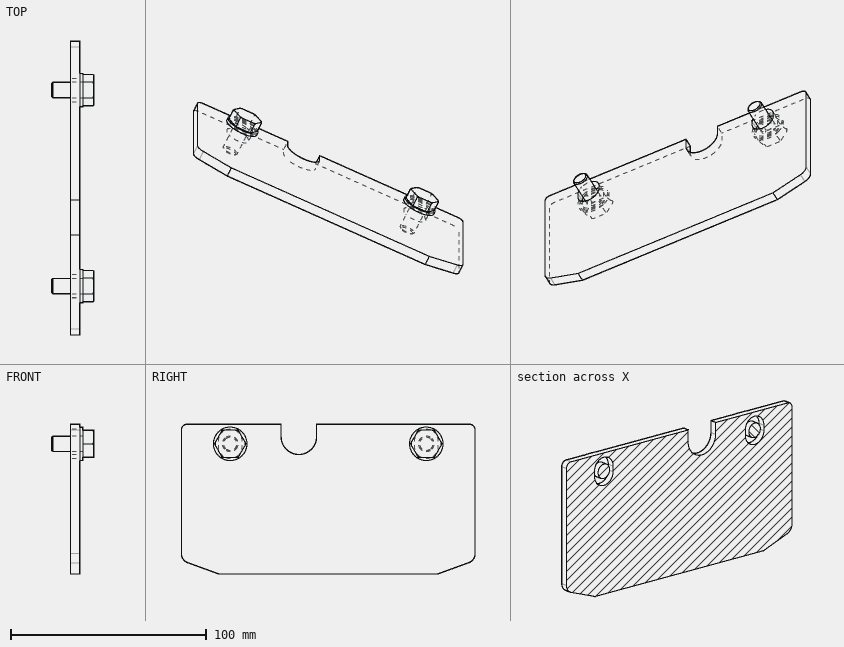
import cadquery as cq
import math

plate_length = 150.0
plate_height = 76.5
plate_thickness = 5.0
top_corner_radius = 3.0
bottom_corner_radius = 5.0
bottom_taper_length = 19.0
bottom_taper_angle = 20.0

notch_width = 18.0
notch_depth = 15.5
notch_center_y = -15.0

slot_width = 12.0
slot_height = 15.0
screw_spacing = 100.0
screw_drop = 10.0
screw_z = plate_height - screw_drop
screw_ys = (-screw_spacing / 2, screw_spacing / 2)

shank_diameter = 8.0
shank_protrusion = 9.5
shank_tip_chamfer = 0.6
head_across_flats = 14.0
head_height = 5.5
head_corner_bevel = 0.5
washer_diameter = 17.1
washer_thickness = 1.5
washer_face_x = plate_thickness + washer_thickness


def make_plate():
    half_length = plate_length / 2
    taper_rise = bottom_taper_length * math.tan(math.radians(bottom_taper_angle))
    outline = [
        (-half_length, plate_height),
        (-half_length, taper_rise),
        (-half_length + bottom_taper_length, 0),
        (half_length - bottom_taper_length, 0),
        (half_length, taper_rise),
        (half_length, plate_height),
    ]
    plate = cq.Workplane("YZ").polyline(outline).close().extrude(plate_thickness)
    side_edges = plate.faces("<Y or >Y").edges("|X")
    plate = side_edges.edges(">Z").fillet(top_corner_radius)
    plate = plate.faces("<Y or >Y").edges("|X").edges("<Z").fillet(bottom_corner_radius)
    return plate.cut(make_notch()).cut(make_slots())


def make_notch():
    radius = notch_width / 2
    left = notch_center_y - radius
    right = notch_center_y + radius
    bottom_z = plate_height - notch_depth
    return (
        cq.Workplane("YZ")
        .moveTo(left, plate_height)
        .lineTo(left, bottom_z + radius)
        .threePointArc((notch_center_y, bottom_z), (right, bottom_z + radius))
        .lineTo(right, plate_height)
        .close()
        .extrude(plate_thickness)
    )


def make_slots():
    return (
        cq.Workplane("YZ")
        .pushPoints([(y, screw_z) for y in screw_ys])
        .slot2D(slot_height, slot_width, 90)
        .extrude(plate_thickness)
    )


def make_washer(y):
    return (
        cq.Workplane("YZ", origin=(plate_thickness, y, screw_z))
        .circle(washer_diameter / 2)
        .circle(shank_diameter / 2)
        .extrude(washer_thickness)
    )


def make_screw(y):
    shank = (
        cq.Workplane("YZ", origin=(-shank_protrusion, y, screw_z))
        .circle(shank_diameter / 2)
        .extrude(shank_protrusion + washer_face_x)
        .faces("<X")
        .chamfer(shank_tip_chamfer)
    )
    return shank.union(make_head(y))


def make_head(y):
    across_corners = head_across_flats / math.cos(math.pi / 6)
    head_plane = cq.Workplane("YZ", origin=(washer_face_x, y, screw_z))
    hexagon = head_plane.polygon(6, across_corners).extrude(head_height)
    blank = (
        head_plane.circle(across_corners / 2)
        .extrude(head_height)
        .faces(">X")
        .chamfer(head_corner_bevel)
    )
    return hexagon.intersect(blank)


plate = make_plate()
washers = [make_washer(y) for y in screw_ys]
screws = [make_screw(y) for y in screw_ys]

result = cq.Compound.makeCompound([
    plate.val(),
    *[washer.val() for washer in washers],
    *[screw.val() for screw in screws],
])